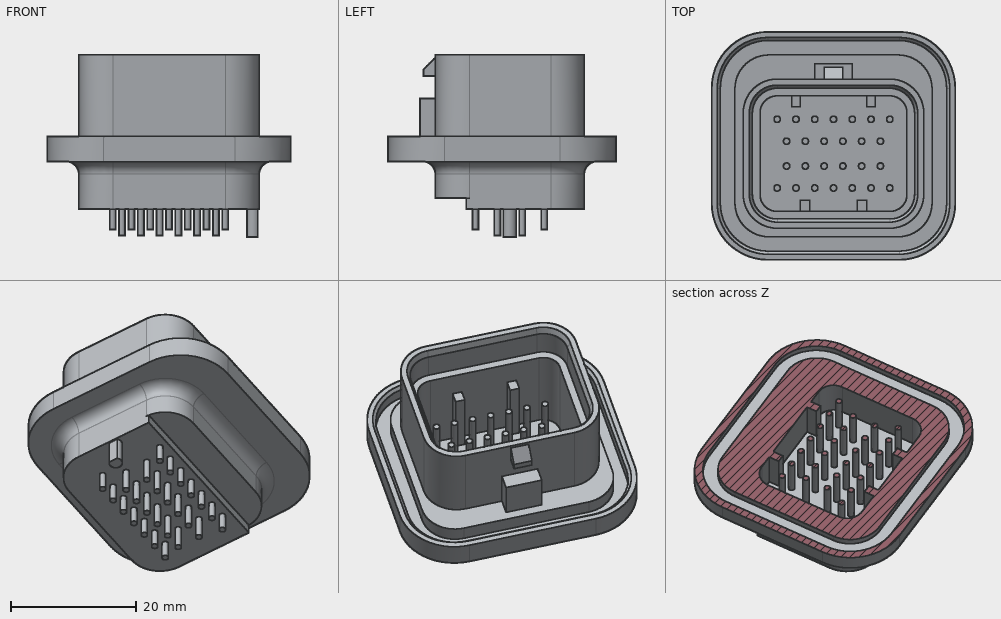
import cadquery as cq

flange_bottom = 7.6
flange_thickness = 4.0
flange_top = flange_bottom + flange_thickness
groove_floor = flange_top - 2.5
cavity_floor = 4.0
shroud_height = 13.1
shroud_top = flange_top + shroud_height

housing_center_y = -1.25
flange_outline = (39.0, 36.5, 9.0, 0)
plateau_outline = (31.55, 29.1, 5.42, 0)
housing_outline = (28.9, 23.85, 5.42, housing_center_y)
housing_x, housing_y = housing_outline[:2]
housing_right = housing_x / 2
housing_back = housing_center_y + housing_y / 2
base_fillet = 2.0

rim_width = 0.9
rim_chamfer_width, rim_chamfer_depth = 0.5, 0.5

mouth_wall = 0.98
mouth_chamfer_width, mouth_chamfer_depth = 0.5, 1.0
ledge_width = 1.2
ledge_depth = 5.45
well_inset = mouth_wall + mouth_chamfer_width + ledge_width

step_height = 1.75
step_front_y = 5.75

latch_width, latch_reach = 2.95, 1.9
latch_top_drop, latch_bottom_drop = 0.5, 3.47
block_width, block_reach = 5.93, 2.45
block_top_drop = 7.02

key_reach = 1.75
key_top = shroud_top - 9.8
back_key_x, back_key_width = 6.0, 1.4
front_key_x, front_key_width = 4.52, 1.52

pin_diameter = 1.0
pin_pitch = 3.0
pin_length = 15.5
outer_row_offset, outer_row_count, outer_pin_drop = 5.5, 7, 3.28
inner_row_offset, inner_row_count, inner_pin_drop = 2.0, 6, 4.25

post_diameter = 2.1
post_x = 13.5
post_flat_x = 14.25
post_length = 4.5


def rounded_block(outline, bottom, top, inset=0):
    """Upright block with rounded vertical corners, its outline shrunk evenly by the inset."""
    size_x, size_y, radius, center_y = outline
    return (
        cq.Workplane("XY", origin=(0, center_y, bottom))
        .rect(size_x - 2 * inset, size_y - 2 * inset)
        .extrude(top - bottom)
        .edges("|Z")
        .fillet(radius - inset)
    )


def chamfered_pocket(outline, wall, chamfer_width, chamfer_depth, bottom, top):
    """Solid to cut away: a pocket whose mouth widens to leave only the wall at the top."""
    chamfer_bottom = top - chamfer_depth
    pocket = rounded_block(outline, bottom, top, wall + chamfer_width)
    narrow = rounded_block(outline, bottom, chamfer_bottom, wall + chamfer_width)
    wide = rounded_block(outline, bottom, top, wall)
    edge_loops = [block.faces(">Z").wires().val() for block in (narrow, wide)]
    return pocket.union(cq.Workplane(cq.Solid.makeLoft(edge_loops, True)))


def box_between(x_range, y_range, z_range):
    """Plain box given by its limits along each axis."""
    ranges = (x_range, y_range, z_range)
    corner = tuple(low for low, high in ranges)
    sizes = tuple(high - low for low, high in ranges)
    return cq.Workplane("XY", origin=corner).box(*sizes, centered=False)


def make_flange():
    flange = rounded_block(flange_outline, flange_bottom, flange_top)
    groove = chamfered_pocket(
        flange_outline, rim_width, rim_chamfer_width, rim_chamfer_depth, groove_floor, flange_top
    )
    plateau = rounded_block(plateau_outline, flange_bottom, flange_top)
    return flange.cut(groove).union(plateau)


def make_housing():
    """Solid housing through the flange, flaring into the underside of the flange."""
    body = make_flange().union(rounded_block(housing_outline, 0, shroud_top))
    margin = 0.05
    half_x, half_y = housing_right + margin, housing_y / 2 + margin
    root = cq.selectors.BoxSelector(
        (-half_x, housing_center_y - half_y, flange_bottom - margin),
        (half_x, housing_center_y + half_y, flange_bottom + margin),
    )
    return body.edges(root).fillet(base_fillet)


def make_cavity():
    mouth = chamfered_pocket(
        housing_outline, mouth_wall, mouth_chamfer_width, mouth_chamfer_depth,
        shroud_top - ledge_depth, shroud_top,
    )
    well = rounded_block(housing_outline, cavity_floor, shroud_top - ledge_depth, well_inset)
    return mouth.union(well)


def make_step():
    return box_between((-housing_right, housing_right), (step_front_y, housing_back), (0, step_height))


def make_foot():
    """Lower tier in front of the step, square where it meets the step."""
    return box_between((-housing_right, housing_right), (housing_center_y, step_front_y), (0, step_height))


def make_latch():
    tip_y = housing_back + latch_reach
    nose_top = shroud_top - latch_top_drop
    nose_bottom = shroud_top - latch_bottom_drop
    nose = (
        cq.Workplane("YZ", origin=(-latch_width / 2, 0, 0))
        .moveTo(housing_back - mouth_wall / 2, nose_bottom)
        .lineTo(tip_y, nose_bottom)
        .lineTo(tip_y, nose_top - latch_reach)
        .lineTo(housing_back, nose_top)
        .lineTo(housing_back - mouth_wall / 2, nose_top)
        .close()
        .extrude(latch_width)
    )
    block = box_between(
        (-block_width / 2, block_width / 2),
        (housing_back - mouth_wall / 2, housing_back + block_reach),
        (groove_floor, shroud_top - block_top_drop),
    )
    return nose.union(block)


def make_keys():
    well_half_y = housing_y / 2 - well_inset
    keys = cq.Workplane("XY")
    for side, key_x, key_width in ((1, back_key_x, back_key_width), (-1, front_key_x, front_key_width)):
        wall_y = housing_center_y + side * well_half_y
        center_y = wall_y - side * key_reach / 2
        keys = keys.union(
            cq.Workplane("XY", origin=(0, center_y, cavity_floor))
            .pushPoints([(-key_x, 0), (key_x, 0)])
            .rect(key_width, key_reach)
            .extrude(key_top - cavity_floor)
        )
    return keys


def make_pin_rows(row_offset, count, drop):
    """Two mirrored rows of pins passing through the cavity floor."""
    return (
        cq.Workplane("XY", origin=(0, housing_center_y, -drop))
        .rarray(pin_pitch, 2 * row_offset, count, 2)
        .circle(pin_diameter / 2)
        .extrude(pin_length)
    )


def make_post():
    post = cq.Workplane("XY", origin=(post_x, housing_center_y, 0)).circle(post_diameter / 2)
    post = post.extrude(-post_length)
    beyond_flat = box_between(
        (post_flat_x, post_flat_x + post_diameter),
        (housing_center_y - post_diameter, housing_center_y + post_diameter),
        (-post_length, 0),
    )
    return post.cut(beyond_flat)


result = make_housing().cut(make_step()).union(make_foot())
result = result.union(make_latch()).cut(make_cavity())
result = result.union(make_keys()).union(make_post())
result = result.union(make_pin_rows(outer_row_offset, outer_row_count, outer_pin_drop))
result = result.union(make_pin_rows(inner_row_offset, inner_row_count, inner_pin_drop))